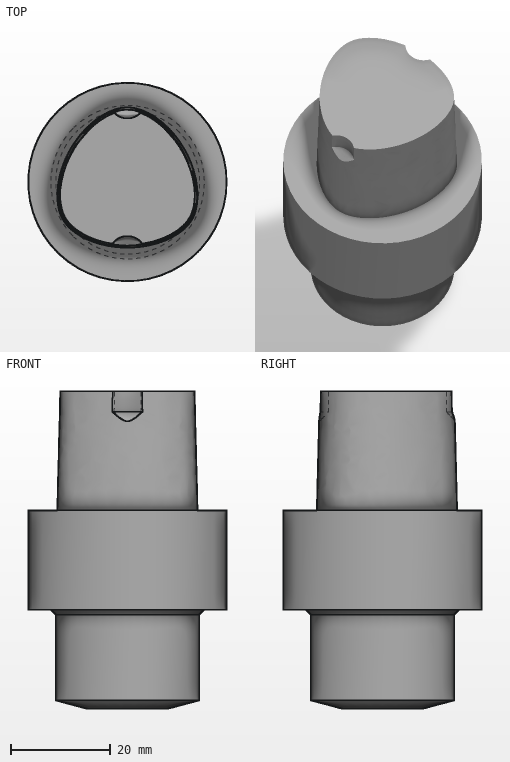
import cadquery as cq
import math

total_height = 64.0
taper_height = 24.0
flange_height = 20.0
flange_diameter = 40.0
flange_top = total_height - taper_height
flange_bottom = flange_top - flange_height

spigot_diameter = 29.0
collar_flare = 0.95
tip_diameter = 16.0
tip_height = 1.7

shank_base_width = 28.3
shank_top_width = 27.1
lobe_height = 0.9
lobe_points = 48

groove_radius = 3.65
groove_depth = 4.15
front_groove_bottom = -10.9
back_groove_bottom = 12.8


def make_body():
    """Turned flange and spigot."""
    spigot_radius = spigot_diameter / 2
    profile = [
        (0, 0),
        (tip_diameter / 2, 0),
        (spigot_radius, tip_height),
        (spigot_radius, flange_bottom - collar_flare),
        (spigot_radius + collar_flare, flange_bottom),
        (flange_diameter / 2, flange_bottom),
        (flange_diameter / 2, flange_top),
        (0, flange_top),
    ]
    return cq.Workplane("XZ").polyline(profile).close().revolve(360, (0, 0), (0, 1))


def lobed_wire(width, z):
    """Rounded triangle of constant width, with one lobe pointing to +Y."""
    points = []
    for i in range(lobe_points):
        angle = 2 * math.pi * i / lobe_points
        along_lobe = (
            width / 2 * math.cos(angle)
            + 2 * lobe_height * math.cos(2 * angle)
            - lobe_height * math.cos(4 * angle)
        )
        across_lobe = (
            width / 2 * math.sin(angle)
            - 2 * lobe_height * math.sin(2 * angle)
            - lobe_height * math.sin(4 * angle)
        )
        points.append(cq.Vector(-across_lobe, along_lobe, z))
    return cq.Wire.assembleEdges([cq.Edge.makeSpline(points, periodic=True)])


def make_shank():
    base = lobed_wire(shank_base_width, flange_top)
    top = lobed_wire(shank_top_width, total_height)
    return cq.Workplane(obj=cq.Solid.makeLoft([base, top], True))


def groove_cutter(axis_y):
    """Vertical cylinder with a 90 degree point at its lower end."""
    profile = [
        (0, total_height),
        (groove_radius, total_height),
        (groove_radius, total_height - groove_depth),
        (0, total_height - groove_depth - groove_radius),
    ]
    cutter = cq.Workplane("XZ").polyline(profile).close().revolve(360, (0, 0), (0, 1))
    return cutter.translate((0, axis_y, 0))


result = make_body().union(make_shank())
for axis_y in (front_groove_bottom - groove_radius, back_groove_bottom + groove_radius):
    result = result.cut(groove_cutter(axis_y))